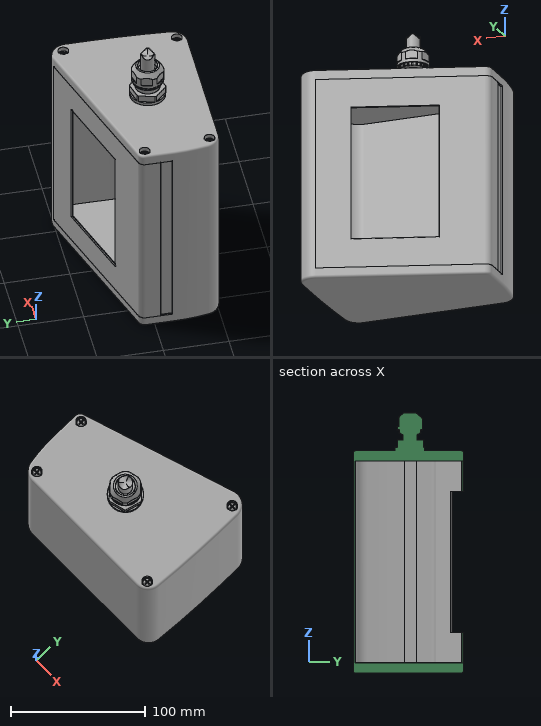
import cadquery as cq
import math

BODY_HEIGHT = 166.1
HALF_WIDTH = 70.0
CORNER_RADIUS = 12.0
SHORT_CORNER_RADIUS = 5.4
FRONT_CORNER_X = 55.7
TALL_CORNER_Y = 91.0
SHORT_CORNER_Y = 58.5
LEFT_BEND_Y = 36.1
RIGHT_BEND_Y = 72.2
RIM_RADIUS = 2.0
WALL = 1.7
PANEL_MARGIN = 8.0
END_WALL = PANEL_MARGIN

TALL_CORNER = (HALF_WIDTH - CORNER_RADIUS, TALL_CORNER_Y)
SHORT_CORNER = (SHORT_CORNER_RADIUS - HALF_WIDTH, SHORT_CORNER_Y)
CENTRE_DX = TALL_CORNER[0] - SHORT_CORNER[0]
CENTRE_DY = TALL_CORNER[1] - SHORT_CORNER[1]
SLANT = math.atan2(CENTRE_DY, CENTRE_DX) + math.asin(
    (CORNER_RADIUS - SHORT_CORNER_RADIUS) / math.hypot(CENTRE_DX, CENTRE_DY)
)
SLANT_NORMAL = math.pi / 2 + SLANT

PANEL_THICKNESS = 1.2
PANEL_END_Y = 47.0
RECESS_END_Y = 38.2
WINDOW_HIGH_Y = 94.3
WINDOW_LOW_Y = 74.0
WINDOW_HEIGHT = 104.8
WINDOW_CUT_DEPTH = 2 * WALL

FRONT_SCREW_X = 58.8
FRONT_SCREW_Y = 7.6
SCREW_POINTS = [
    (-FRONT_SCREW_X, FRONT_SCREW_Y),
    (FRONT_SCREW_X, FRONT_SCREW_Y),
    (61.5, 93.5),
    (-63.3, 58.0),
]
SCREW_HOLE_RADIUS = 4.0
SCREW_HOLE_DEPTH = 3.7
SCREW_HEAD_RADIUS = 3.0
SCREW_HEAD_HEIGHT = 1.7
SCREW_HEAD_ROUNDING = 1.5
CROSS_LENGTH = 4.1
CROSS_WIDTH = 0.6
CROSS_DEPTH = 1.0

GLAND_Y = 42.3
HEX_TURN = -15.0
BASE_RADIUS = 13.52
BASE_FLAT = 12.0
BASE_HEX_BOTTOM = 2.5
BASE_TOP = 7.8
NECK_RADIUS = 9.3
NECK_TOP = 11.5
TEETH_RADIUS = 11.1
TEETH_BOTTOM = 12.8
TEETH_TOP = 15.3
TOOTH_COUNT = 20
TOOTH_GAP = 1.0
TOOTH_DEPTH = 0.8
NUT_RADIUS = 12.2
NUT_FLAT = 11.3
NUT_HEX_BOTTOM = 18.0
NUT_SHOULDER = 23.7
NUT_TOP = 28.0
NUT_TOP_RADIUS = 8.9
NUT_BORE_RADIUS = 7.5
NUT_BORE_DEPTH = 4.1
CABLE_RADIUS = 5.4
CABLE_TOP = 40.2
SCOOP_COUNT = 3
SCOOP_RADIUS = 4.5
SCOOP_DEPTH = 2.7
SCOOP_TURN = 48.0


def polar(centre, radius, angle):
    """Point at a radius and an angle in radians about a centre."""
    return (centre[0] + radius * math.cos(angle), centre[1] + radius * math.sin(angle))


def side_arc(bend_y):
    """Radius and turn of the arc joining a straight side wall to a front corner."""
    offset = HALF_WIDTH - CORNER_RADIUS - FRONT_CORNER_X
    drop = bend_y - CORNER_RADIUS
    radius = CORNER_RADIUS + (drop**2 + offset**2) / (2 * offset)
    turn = math.asin(drop / (radius - CORNER_RADIUS))
    return radius, turn


def outline(inset):
    """Closed outline of the side walls, moved inwards by inset."""
    half = HALF_WIDTH - inset
    corner = CORNER_RADIUS - inset
    short_corner = SHORT_CORNER_RADIUS - inset
    left_front = (-FRONT_CORNER_X, CORNER_RADIUS)
    right_front = (FRONT_CORNER_X, CORNER_RADIUS)
    left_radius, left_turn = side_arc(LEFT_BEND_Y)
    right_radius, right_turn = side_arc(RIGHT_BEND_Y)
    left_centre = (left_radius - HALF_WIDTH, LEFT_BEND_Y)
    right_centre = (HALF_WIDTH - right_radius, RIGHT_BEND_Y)
    left = math.pi
    front = 3 * math.pi / 2
    right = 2 * math.pi
    return (
        cq.Workplane("XY")
        .moveTo(-FRONT_CORNER_X, inset)
        .lineTo(FRONT_CORNER_X, inset)
        .threePointArc(
            polar(right_front, corner, (front + right - right_turn) / 2),
            polar(right_front, corner, right - right_turn),
        )
        .threePointArc(
            polar(right_centre, right_radius - inset, right - right_turn / 2),
            (half, RIGHT_BEND_Y),
        )
        .lineTo(half, TALL_CORNER_Y)
        .threePointArc(
            polar(TALL_CORNER, corner, SLANT_NORMAL / 2),
            polar(TALL_CORNER, corner, SLANT_NORMAL),
        )
        .lineTo(*polar(SHORT_CORNER, short_corner, SLANT_NORMAL))
        .threePointArc(
            polar(SHORT_CORNER, short_corner, (SLANT_NORMAL + left) / 2),
            (-half, SHORT_CORNER_Y),
        )
        .lineTo(-half, LEFT_BEND_Y)
        .threePointArc(
            polar(left_centre, left_radius - inset, left + left_turn / 2),
            polar(left_front, corner, left + left_turn),
        )
        .threePointArc(
            polar(left_front, corner, (left + left_turn + front) / 2),
            (-FRONT_CORNER_X, inset),
        )
        .close()
    )


def panel_band(end_y):
    """Flush layer over the slanted wall and the short corner, down to end_y on the left wall."""
    inner_half = HALF_WIDTH - PANEL_THICKNESS
    inner_short = SHORT_CORNER_RADIUS - PANEL_THICKNESS
    inner_tall = CORNER_RADIUS - PANEL_THICKNESS
    mid_angle = (SLANT_NORMAL + math.pi) / 2
    return (
        cq.Workplane("XY", origin=(0, 0, PANEL_MARGIN))
        .moveTo(-HALF_WIDTH, end_y)
        .lineTo(-HALF_WIDTH, SHORT_CORNER_Y)
        .threePointArc(
            polar(SHORT_CORNER, SHORT_CORNER_RADIUS, mid_angle),
            polar(SHORT_CORNER, SHORT_CORNER_RADIUS, SLANT_NORMAL),
        )
        .lineTo(*polar(TALL_CORNER, CORNER_RADIUS, SLANT_NORMAL))
        .lineTo(*polar(TALL_CORNER, inner_tall, SLANT_NORMAL))
        .lineTo(*polar(SHORT_CORNER, inner_short, SLANT_NORMAL))
        .threePointArc(
            polar(SHORT_CORNER, inner_short, mid_angle),
            (-inner_half, SHORT_CORNER_Y),
        )
        .lineTo(-inner_half, end_y)
        .close()
        .extrude(BODY_HEIGHT - 2 * PANEL_MARGIN)
    )


def window_cutter():
    """Block that opens the window square to the slanted wall."""
    wall_end = polar(TALL_CORNER, CORNER_RADIUS, SLANT_NORMAL)
    mid_y = (WINDOW_HIGH_Y + WINDOW_LOW_Y) / 2
    mid_x = wall_end[0] - (wall_end[1] - mid_y) / math.tan(SLANT)
    slanted_wall = cq.Plane(
        origin=(mid_x, mid_y, BODY_HEIGHT / 2),
        xDir=(math.cos(SLANT), math.sin(SLANT), 0),
        normal=(math.cos(SLANT_NORMAL), math.sin(SLANT_NORMAL), 0),
    )
    window_length = (WINDOW_HIGH_Y - WINDOW_LOW_Y) / math.sin(SLANT)
    return cq.Workplane(slanted_wall).box(window_length, WINDOW_HEIGHT, 2 * WINDOW_CUT_DEPTH)


def disc(radius, bottom, top):
    """Cylinder on the Z axis between two heights."""
    return cq.Workplane("XY", origin=(0, 0, bottom)).circle(radius).extrude(top - bottom)


def screw_head():
    """Recessed cross-slot screw head standing on z = 0."""
    head = disc(SCREW_HEAD_RADIUS, 0, SCREW_HEAD_HEIGHT).faces(">Z").fillet(SCREW_HEAD_ROUNDING)
    slot_bottom = cq.Workplane("XY", origin=(0, 0, SCREW_HEAD_HEIGHT - CROSS_DEPTH))
    for length, width in [(CROSS_LENGTH, CROSS_WIDTH), (CROSS_WIDTH, CROSS_LENGTH)]:
        head = head.cut(slot_bottom.rect(length, width).extrude(CROSS_DEPTH))
    return head


def hexagon(flat, bottom, top):
    """Hexagonal prism on the Z axis; flat is the distance from the axis to a side."""
    return (
        cq.Workplane("XY", origin=(0, 0, bottom))
        .polygon(6, 2 * flat, circumscribed=True)
        .extrude(top - bottom)
        .rotate((0, 0, 0), (0, 0, 1), HEX_TURN)
    )


def gland_base():
    """Round foot, rounded hexagon and neck."""
    foot = disc(BASE_RADIUS, 0, BASE_HEX_BOTTOM)
    flats = hexagon(BASE_FLAT, BASE_HEX_BOTTOM, BASE_TOP)
    rounding = disc(BASE_RADIUS, BASE_HEX_BOTTOM, BASE_TOP)
    neck = disc(NECK_RADIUS, BASE_TOP, NECK_TOP)
    return foot.union(flats.intersect(rounding)).union(neck)


def gland_nut():
    """Domed cap nut with a toothed lower ring and a bore around the cable."""
    nut = (
        cq.Workplane("XZ")
        .polyline([
            (0, NECK_TOP),
            (NECK_RADIUS, NECK_TOP),
            (TEETH_RADIUS, TEETH_BOTTOM),
            (TEETH_RADIUS, TEETH_TOP),
            (NUT_RADIUS, TEETH_TOP),
            (NUT_RADIUS, NUT_SHOULDER),
            (NUT_TOP_RADIUS, NUT_TOP),
            (0, NUT_TOP),
        ])
        .close()
        .revolve(360, (0, 0, 0), (0, 1, 0))
    )
    waste = disc(2 * NUT_RADIUS, NUT_HEX_BOTTOM, NUT_TOP)
    nut = nut.cut(waste.cut(hexagon(NUT_FLAT, NUT_HEX_BOTTOM, NUT_TOP)))
    gaps = (
        cq.Workplane("XY", origin=(0, 0, TEETH_BOTTOM))
        .polarArray(TEETH_RADIUS, 0, 360, TOOTH_COUNT)
        .rect(2 * TOOTH_DEPTH, TOOTH_GAP)
        .extrude(TEETH_TOP - TEETH_BOTTOM)
    )
    return nut.cut(gaps).cut(disc(NUT_BORE_RADIUS, NUT_TOP - NUT_BORE_DEPTH, NUT_TOP))


def cable():
    """Cable stub whose broken end has round scoops spaced evenly about its axis."""
    stub = disc(CABLE_RADIUS, NUT_TOP - NUT_BORE_DEPTH, CABLE_TOP)
    scoop = (
        cq.Workplane("YZ")
        .center(0, CABLE_TOP - SCOOP_DEPTH + SCOOP_RADIUS)
        .circle(SCOOP_RADIUS)
        .extrude(2 * CABLE_RADIUS)
    )
    for index in range(SCOOP_COUNT):
        angle = SCOOP_TURN + index * 360 / SCOOP_COUNT
        stub = stub.cut(scoop.rotate((0, 0, 0), (0, 0, 1), angle))
    return stub


def make_housing():
    """Hollow wedge-shaped housing with its screws and cable gland."""
    body = outline(0).extrude(BODY_HEIGHT).faces("<Z or >Z").edges().fillet(RIM_RADIUS)
    cavity = outline(WALL).extrude(BODY_HEIGHT - 2 * END_WALL).translate((0, 0, END_WALL))
    body = body.cut(cavity)
    body = body.cut(panel_band(RECESS_END_Y)).cut(window_cutter())
    hole_floor = BODY_HEIGHT - SCREW_HOLE_DEPTH
    for x, y in SCREW_POINTS:
        body = body.cut(disc(SCREW_HOLE_RADIUS, hole_floor, BODY_HEIGHT).translate((x, y, 0)))
        body = body.union(screw_head().translate((x, y, hole_floor)))
    gland = gland_base().union(gland_nut()).union(cable())
    return body.union(gland.translate((0, GLAND_Y, BODY_HEIGHT)))


def make_panel():
    """Thin wrap-round panel lying flush in the housing recess."""
    return panel_band(PANEL_END_Y).cut(window_cutter())


housing = make_housing()
panel = make_panel()

result = cq.Compound.makeCompound([housing.val(), panel.val()])